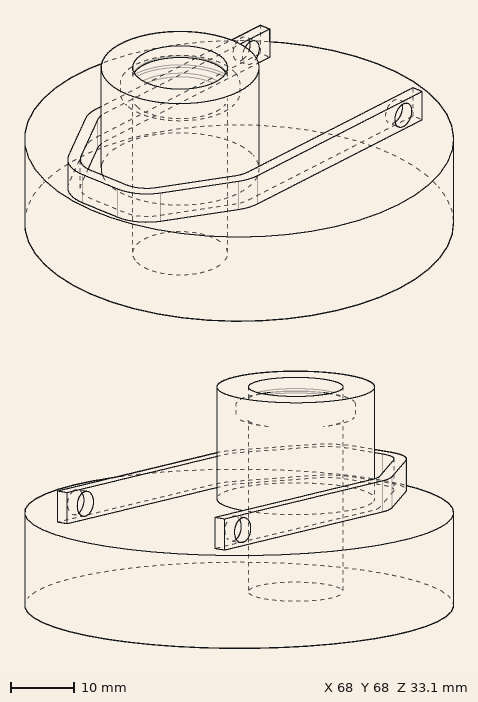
import cadquery as cq
import math

base_diameter = 68.0
base_height = 15.0
base_radius = base_diameter / 2

boss_diameter = 25.0
boss_top = 33.1
boss_y = -14.0
bore_diameter = 15.0

groove_centre_depth = 3.7
groove_mouth_width = 3.0
groove_depth = 2.0
groove_flank_angle = math.radians(14)
groove_mouth_radius = 0.5
groove_floor_radius = 0.35

strap_height = 5.0
strap_thickness = 2.0
strap_half_width = 17.2
strap_end_y = 24.3
strap_front_y = -33.05
front_corner_half_width = 7.75
slope_angle = math.radians(60)
shoulder_y = strap_front_y + (strap_half_width - front_corner_half_width) * math.tan(slope_angle)
corner_radius = 7.0

hole_diameter = 4.0
hole_from_end = 4.5

selection_margin = 0.1


def make_base():
    return cq.Workplane("XY").circle(base_radius).extrude(base_height)


def make_boss():
    return (
        cq.Workplane("XY")
        .center(0, boss_y)
        .circle(boss_diameter / 2)
        .extrude(boss_top)
    )


def strap_block(inset, end_y):
    """Solid with the strap's outer outline, moved inwards by inset."""
    half_width = strap_half_width - inset
    shoulder = shoulder_y + inset * math.tan((math.pi / 2 - slope_angle) / 2)
    front_half = front_corner_half_width - inset * math.tan(slope_angle / 2)
    front = strap_front_y + inset
    block = (
        cq.Workplane("XY")
        .workplane(offset=base_height)
        .polyline([
            (-half_width, end_y),
            (-half_width, shoulder),
            (-front_half, front),
            (front_half, front),
            (half_width, shoulder),
            (half_width, end_y),
        ])
        .close()
        .extrude(strap_height)
    )
    end_edges = cq.selectors.BoxSelector(
        (-base_radius, end_y - selection_margin, 0), (base_radius, end_y + selection_margin, boss_top)
    )
    corner_edges = cq.selectors.SubtractSelector(cq.StringSyntaxSelector("|Z"), end_edges)
    return block.edges(corner_edges).fillet(corner_radius - inset)


def make_strap():
    inner_end_y = strap_end_y + strap_thickness
    strap = strap_block(0, strap_end_y).cut(strap_block(strap_thickness, inner_end_y))
    cross_hole = (
        cq.Workplane("YZ")
        .center(strap_end_y - hole_from_end, base_height + strap_height / 2)
        .circle(hole_diameter / 2)
        .extrude(strap_half_width, both=True)
    )
    return strap.cut(cross_hole)


def cut_bore(body):
    """Cut the through bore and its ring groove, then round the groove edges."""
    bore_radius = bore_diameter / 2
    floor_radius = bore_radius + groove_depth
    mouth_half = groove_mouth_width / 2
    floor_half = mouth_half - groove_depth * math.tan(groove_flank_angle)
    groove_z = boss_top - groove_centre_depth
    bore_section = (
        cq.Workplane("XZ", origin=(0, boss_y, 0))
        .polyline([
            (0, 0),
            (bore_radius, 0),
            (bore_radius, groove_z - mouth_half),
            (floor_radius, groove_z - floor_half),
            (floor_radius, groove_z + floor_half),
            (bore_radius, groove_z + mouth_half),
            (bore_radius, boss_top),
            (0, boss_top),
        ])
        .close()
    )
    body = body.cut(bore_section.revolve(360, (0, 0, 0), (0, 1, 0)))

    def groove_edges(half_width):
        """Circular edges whose centres lie within half_width of the groove centre."""
        reach = half_width + selection_margin
        box = cq.selectors.BoxSelector(
            (-reach, boss_y - reach, groove_z - reach),
            (reach, boss_y + reach, groove_z + reach),
        )
        return cq.selectors.AndSelector(cq.StringSyntaxSelector("%CIRCLE"), box)

    body = body.edges(groove_edges(floor_half)).fillet(groove_floor_radius)
    mouth_edges = cq.selectors.RadiusNthSelector(0)
    return body.edges(groove_edges(mouth_half)).edges(mouth_edges).fillet(groove_mouth_radius)


result = cut_bore(make_base().union(make_boss()).union(make_strap()))